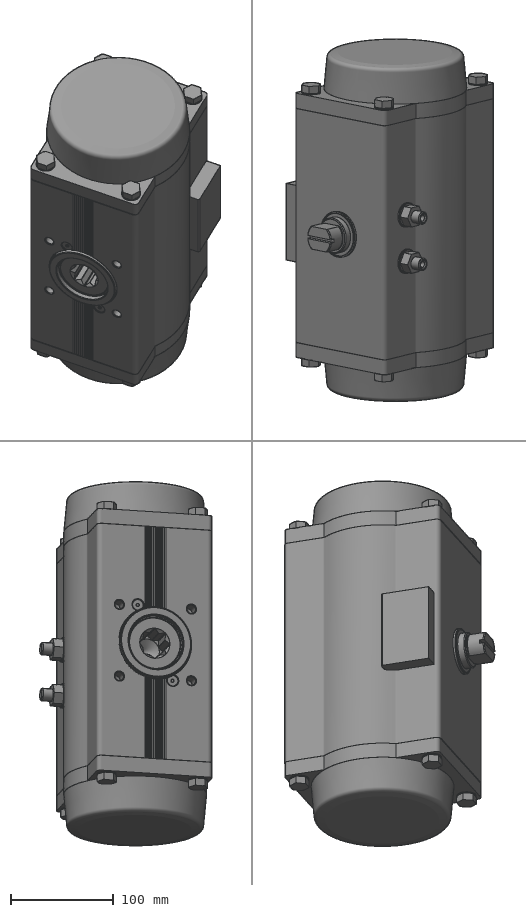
import cadquery as cq
import math


housing_half_length = 116.6
housing_half_depth = 81.5
barrel_radius = 69.5
upper_half_width = 59.3
lower_half_width = 57.5
housing_corner_radius = 5.0
barrel_blend_radius = 3.8

cap_half_depth = 80.8
cap_corner_radius = 4.0
flange_thickness = 15.0
dome_height = 35.6
dome_base_radius = 69.4
dome_shoulder_radius = 66.6
dome_shoulder_drop = 5.0
dome_crown_radius = 62.2
dome_crown_drop = 1.0
dome_flat_radius = 55.3

bolt_flats = 16.8
bolt_head_height = 8.3
bolt_collar_diameter = 18.4
bolt_collar_height = 1.0
bolt_edge_chamfer = 1.0
bolt_edge_chamfer_height = 0.3
bolt_y = 69.2
upper_bolt_x = 47.7
lower_bolt_x = 45.7

groove_count = 10
groove_pitch = 2.1
groove_depth = 0.5

ring_diameter = 70.5
ring_bore_diameter = 54.5
ring_face_y = -84.0
ring_edge_chamfer = 0.75
seat_diameter = 72.5
seat_floor_y = -79.0

spot_rim_diameter = 12.0
spot_floor_diameter = 10.57
spot_hole_diameter = 3.0
spot_hole_depth = 1.0
spot_centers = [(-17.4, 37.0), (17.4, -37.0)]

mounting_circle_diameter = 102.0
mounting_hole_diameter = 8.5
mounting_hole_rim_diameter = 10.11
mounting_hole_depth = 15.0
drill_half_angle = math.radians(59)

journal_diameter = 52.0
journal_top_y = 60.0
journal_edge_chamfer = 0.75
collar_diameter = 35.0
collar_top_y = 91.8
collar_edge_chamfer = 1.0
neck_diameter = 29.0
neck_length = 1.2
tang_diameter = 31.0
tang_flats = 22.6
tang_edge_chamfer = 1.0
shaft_top_y = 111.0
driver_slot_width = 3.3
driver_slot_depth = 4.6
socket_flats = 22.0
socket_tip_diameter = 30.2
socket_bore_diameter = 24.0
socket_depth = 30.0

washer_diameter = 45.0
washer_top_diameter = 42.1
washer_thickness = 3.0
washer_step_height = 2.0

fitting_y = 50.2
fitting_half_spacing = 23.1
fitting_flange_diameter = 24.0
fitting_flange_thickness = 2.0
fitting_flange_chamfer = 0.5
fitting_hex_flats = 19.0
fitting_hex_length = 9.8
fitting_tip_x = -81.8
nozzle_diameter = 12.3
nozzle_rim_diameter = 8.38
nozzle_edge_chamfer = 1.0
nozzle_bore_diameter = 6.0
nozzle_bore_depth = 10.0

block_face_x = 74.53
block_half_length = 38.2
block_lower_y = 26.3
block_upper_y = 75.7
block_edge_chamfer = 1.5


def y_cylinder(diameter, y_start, y_end, x=0.0, z=0.0):
    """Cylinder along Y between two Y positions."""
    plane = cq.Workplane("XZ", origin=(x, y_start, z))
    return plane.circle(diameter / 2).extrude(y_start - y_end)


def y_revolve(profile):
    """Solid of revolution about Y from (radius, y) points."""
    return cq.Workplane("XY").polyline(profile).close().revolve(360, (0, 0, 0), (0, 1, 0))


def corner_diameter(flats):
    """Corner-to-corner diameter of a hexagon with the given width across flats."""
    return flats / math.cos(math.pi / 6)


def box_between(x0, x1, y0, y1, z0, z1):
    """Axis-aligned box between its limits."""
    box = cq.Workplane("XY").box(x1 - x0, y1 - y0, z1 - z0, centered=False)
    return box.translate((x0, y0, z0))


def barrel_section(half_depth, corner_radius, z_start, z_end):
    """Barrel joined with a wider block on its +Y side and a narrower one on its -Y side."""
    upper = box_between(-upper_half_width, upper_half_width, 0, half_depth, z_start, z_end)
    lower = box_between(-lower_half_width, lower_half_width, -half_depth, 0, z_start, z_end)
    upper = upper.edges("|Z and >Y").fillet(corner_radius)
    lower = lower.edges("|Z and <Y").fillet(corner_radius)
    barrel = cq.Workplane("XY", origin=(0, 0, z_start)).circle(barrel_radius).extrude(z_end - z_start)
    return barrel.union(upper).union(lower)


def barrel_blend_edges(body):
    """Select the inside edges where the flat sides meet the barrel."""
    reach = math.sqrt(barrel_radius**2 - lower_half_width**2) + 1
    size = 2 * housing_half_length + 2
    inner = cq.selectors.BoxSelector(
        (-barrel_radius, -reach, -size), (barrel_radius, reach, size)
    )
    return body.edges("|Z").edges(inner)


def serrated_strip():
    """Row of V grooves running the length of the -Y face."""
    surface_y = -housing_half_depth
    start_x = -groove_count * groove_pitch / 2
    outline = [(start_x, surface_y)]
    for index in range(groove_count):
        left = start_x + index * groove_pitch
        outline.append((left + groove_pitch / 2, surface_y + groove_depth))
        outline.append((left + groove_pitch, surface_y))
    outline.append((-start_x, surface_y - 1))
    outline.append((start_x, surface_y - 1))
    section = cq.Workplane("XY", origin=(0, 0, -housing_half_length)).polyline(outline).close()
    return section.extrude(2 * housing_half_length)


def mounting_hole():
    """Blind hole with a chamfered rim and a drill-point bottom, on the Y axis."""
    rim = mounting_hole_rim_diameter / 2
    radius = mounting_hole_diameter / 2
    face = -housing_half_depth
    bottom = face + mounting_hole_depth
    return y_revolve([
        (0, face),
        (rim, face),
        (radius, face + rim - radius),
        (radius, bottom),
        (0, bottom + radius / math.tan(drill_half_angle)),
    ])


def screw_spot():
    """Shallow tapered recess with a small blind hole in its floor, on the Y axis."""
    face = -housing_half_depth
    floor = face + (spot_rim_diameter - spot_floor_diameter) / 2
    return y_revolve([
        (0, face),
        (spot_rim_diameter / 2, face),
        (spot_floor_diameter / 2, floor),
        (spot_hole_diameter / 2, floor),
        (spot_hole_diameter / 2, floor + spot_hole_depth),
        (0, floor + spot_hole_depth),
    ])


def make_housing():
    body = barrel_section(
        housing_half_depth, housing_corner_radius, -housing_half_length, housing_half_length
    )
    body = barrel_blend_edges(body).fillet(barrel_blend_radius)
    body = body.cut(serrated_strip())
    body = body.cut(y_cylinder(seat_diameter, -housing_half_depth, seat_floor_y))
    for x, z in spot_centers:
        body = body.cut(screw_spot().translate((x, 0, z)))
    body = body.cut(y_cylinder(journal_diameter, seat_floor_y, journal_top_y))
    body = body.cut(y_cylinder(collar_diameter, journal_top_y, housing_half_depth))
    offset = mounting_circle_diameter / 2 / math.sqrt(2)
    for x in (-offset, offset):
        for z in (-offset, offset):
            body = body.cut(mounting_hole().translate((x, 0, z)))
    return body


def cap_bolt():
    """Flanged hexagon bolt head standing on the XY plane, corners along X."""
    corner_radius = corner_diameter(bolt_flats) / 2
    head = cq.Workplane("XY").polygon(6, 2 * corner_radius).extrude(bolt_head_height)
    envelope = cq.Workplane("XY").circle(corner_radius).extrude(bolt_head_height)
    envelope = envelope.faces(">Z").chamfer(bolt_edge_chamfer_height, bolt_edge_chamfer)
    head = head.intersect(envelope)
    head = head.cut(cq.Workplane("XY").circle(2 * corner_radius).extrude(bolt_collar_height))
    return head.union(cq.Workplane("XY").circle(bolt_collar_diameter / 2).extrude(bolt_collar_height))


def dome():
    """Tapered dome with a rounded shoulder, standing on the XY plane."""
    crown = dome_height - dome_crown_drop
    shoulder = dome_height - dome_shoulder_drop
    arc_fraction = math.sqrt(0.5)
    middle = (
        dome_crown_radius + arc_fraction * (dome_shoulder_radius - dome_crown_radius),
        shoulder + arc_fraction * (crown - shoulder),
    )
    profile = (
        cq.Workplane("XZ")
        .lineTo(dome_base_radius, 0)
        .lineTo(dome_shoulder_radius, shoulder)
        .threePointArc(middle, (dome_crown_radius, crown))
        .lineTo(dome_flat_radius, dome_height)
        .lineTo(0, dome_height)
        .close()
    )
    return profile.revolve(360, (0, 0, 0), (0, 1, 0))


def make_cap():
    """Top end cap with its four bolt heads."""
    flange_top = housing_half_length + flange_thickness
    cap = barrel_section(cap_half_depth, cap_corner_radius, housing_half_length, flange_top)
    cap = cap.union(dome().translate((0, 0, flange_top)))
    for x, y in ((upper_bolt_x, bolt_y), (lower_bolt_x, -bolt_y)):
        for side in (-1, 1):
            cap = cap.union(cap_bolt().translate((side * x, y, flange_top)))
    return cap


def make_centring_ring():
    ring = y_cylinder(ring_diameter, ring_face_y, seat_floor_y)
    ring = ring.faces("<Y").chamfer(ring_edge_chamfer)
    bore = y_cylinder(ring_bore_diameter, ring_face_y, seat_floor_y)
    rim = y_revolve([
        (0, ring_face_y),
        (ring_bore_diameter / 2 + ring_edge_chamfer, ring_face_y),
        (ring_bore_diameter / 2, ring_face_y + ring_edge_chamfer),
        (0, ring_face_y + ring_edge_chamfer),
    ])
    return ring.cut(bore).cut(rim)


def star_socket():
    """Eight-pointed socket made of two squares, with a chamfered mouth, a drilled bore and a cone bottom."""
    plane = cq.Workplane("XZ", origin=(0, seat_floor_y, 0))
    square = plane.rect(socket_flats, socket_flats).extrude(-socket_depth)
    turned = square.rotate((0, 0, 0), (0, 1, 0), 45)
    bottom = seat_floor_y + socket_depth
    star = square.union(turned).intersect(y_cylinder(socket_tip_diameter, seat_floor_y, bottom))
    radius = socket_bore_diameter / 2
    mouth = socket_tip_diameter / 2
    bore = y_revolve([
        (0, seat_floor_y),
        (mouth, seat_floor_y),
        (radius, seat_floor_y + mouth - radius),
        (radius, bottom),
        (0, bottom + radius / math.tan(drill_half_angle)),
    ])
    return star.union(bore)


def shaft_tang():
    """Round end with two flats and a screwdriver slot along X."""
    start = collar_top_y + neck_length
    tang = y_cylinder(tang_diameter, start, shaft_top_y).edges().chamfer(tang_edge_chamfer)
    tang = tang.union(y_cylinder(neck_diameter, collar_top_y, start))
    flats = box_between(
        -tang_diameter, tang_diameter, collar_top_y, shaft_top_y, -tang_flats / 2, tang_flats / 2
    )
    slot = box_between(
        -tang_diameter,
        tang_diameter,
        shaft_top_y - driver_slot_depth,
        shaft_top_y,
        -driver_slot_width / 2,
        driver_slot_width / 2,
    )
    return tang.intersect(flats).cut(slot)


def make_shaft():
    journal = y_cylinder(journal_diameter, seat_floor_y, journal_top_y)
    journal = journal.faces("<Y").chamfer(journal_edge_chamfer)
    collar = y_cylinder(collar_diameter, journal_top_y, collar_top_y)
    collar = collar.faces(">Y").chamfer(collar_edge_chamfer)
    return journal.union(collar).union(shaft_tang()).cut(star_socket())


def make_washer():
    face = housing_half_depth
    washer = y_cylinder(washer_diameter, face, face + washer_step_height)
    washer = washer.union(y_cylinder(washer_top_diameter, face, face + washer_thickness))
    return washer.cut(y_cylinder(collar_diameter, face, face + washer_thickness))


def make_fitting(z):
    """Hexagon fitting with a hollow nozzle pointing to -X."""
    wall = cq.Workplane("YZ", origin=(-upper_half_width, fitting_y, z))
    hex_end = fitting_flange_thickness + fitting_hex_length
    length = -upper_half_width - fitting_tip_x
    nozzle = wall.circle(nozzle_diameter / 2).extrude(-length)
    nozzle = nozzle.faces("<X").chamfer(nozzle_edge_chamfer)
    flange = wall.circle(fitting_flange_diameter / 2).extrude(-fitting_flange_thickness)
    flange = flange.faces("<X").chamfer(fitting_flange_chamfer)
    hexagon_body = wall.polygon(6, corner_diameter(fitting_hex_flats)).extrude(-hex_end)
    tip = cq.Workplane("YZ", origin=(fitting_tip_x, fitting_y, z))
    bore = tip.circle(nozzle_bore_diameter / 2).extrude(nozzle_bore_depth)
    rim_depth = (nozzle_rim_diameter - nozzle_bore_diameter) / 2
    rim = tip.circle(nozzle_rim_diameter / 2).workplane(offset=rim_depth)
    rim = rim.circle(nozzle_bore_diameter / 2).loft(ruled=True)
    return nozzle.union(flange).union(hexagon_body).cut(bore).cut(rim)


def make_block(housing):
    """Interface block whose back follows the housing side."""
    block = box_between(
        lower_half_width, block_face_x, block_lower_y, block_upper_y, -block_half_length, block_half_length
    )
    block = block.edges(">X and <Y").chamfer(block_edge_chamfer)
    return block.cut(housing)


housing = make_housing()
top_cap = make_cap()
bottom_cap = top_cap.mirror("XY")
shaft = make_shaft()
washer = make_washer()
centring_ring = make_centring_ring()
block = make_block(housing)
fittings = [make_fitting(z) for z in (-fitting_half_spacing, fitting_half_spacing)]

result = cq.Compound.makeCompound([
    housing.val(),
    top_cap.val(),
    bottom_cap.val(),
    shaft.val(),
    washer.val(),
    centring_ring.val(),
    block.val(),
    *[fitting.val() for fitting in fittings],
])